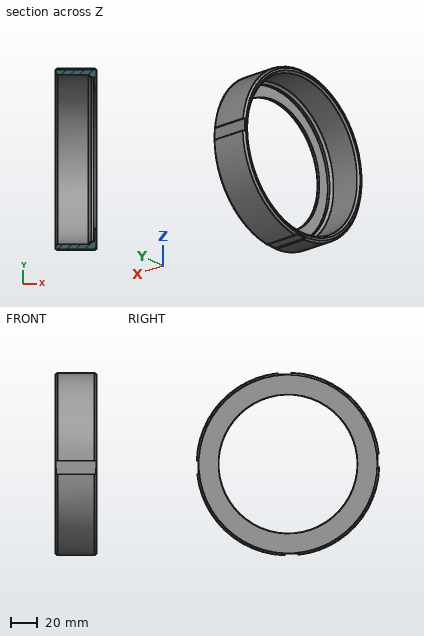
import cadquery as cq

outer_diameter = 137.0
width = 31.0
outer_chamfer = 1.6
bore_radius = 63.5
mouth_chamfer = 1.6
seat_radius = 61.4
seat_length = 2.0
flange_thickness = 2.0
opening_radius = 52.0

slot_count = 4
slot_depth = 1.2
slot_width = 10.0
slot_offset = 2.6

outer_radius = outer_diameter / 2
open_end = -width / 2
flange_end = width / 2
flange_face = flange_end - flange_thickness
seat_start = flange_face - seat_length
cone_start = seat_start - (bore_radius - seat_radius)


def ring_body():
    """Revolve the wall section, drawn as (axial, radial) points, about X."""
    section = [
        (open_end, bore_radius + mouth_chamfer),
        (open_end, outer_radius - outer_chamfer),
        (open_end + outer_chamfer, outer_radius),
        (flange_end - outer_chamfer, outer_radius),
        (flange_end, outer_radius - outer_chamfer),
        (flange_end, opening_radius),
        (flange_face, opening_radius),
        (flange_face, seat_radius),
        (seat_start, seat_radius),
        (cone_start, bore_radius),
        (open_end + mouth_chamfer, bore_radius),
    ]
    return cq.Workplane("XY").polyline(section).close().revolve(360, (0, 0), (1, 0))


def spanner_slot(angle):
    """Full-width, flat-bottomed slot, offset sideways and turned about X."""
    floor_radius = outer_radius - slot_depth
    cutter_height = 2 * slot_depth
    return (
        cq.Workplane("XY")
        .box(width, slot_width, cutter_height, centered=(True, True, False))
        .translate((0, -slot_offset, floor_radius))
        .rotate((0, 0, 0), (1, 0, 0), angle)
    )


result = ring_body()
for index in range(slot_count):
    result = result.cut(spanner_slot(index * 360 / slot_count))